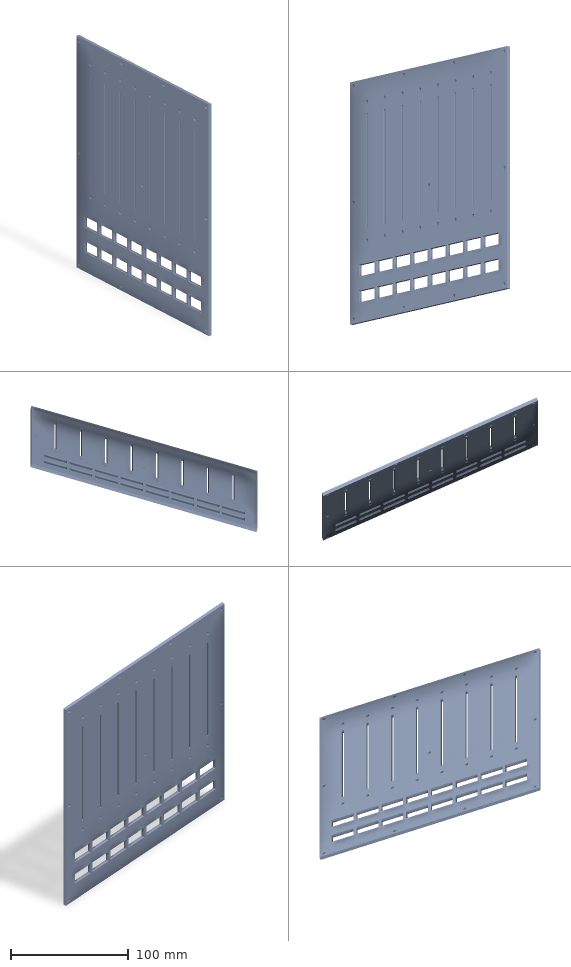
import cadquery as cq

panel_width = 200.0
panel_height = 210.0
panel_thickness = 3.0

hole_diameter = 3.0
edge_inset = 4.0
edge_hole_columns = 4

column_count = 8
column_span = 157.5
column_pitch = column_span / (column_count - 1)

slot_width = 2.0
slot_length = 100.0
slot_center_z = 25.0
slot_hole_offset = 60.0

window_width = 20.0
window_height = 10.0
upper_window_z = -60.0
window_rows = [upper_window_z, upper_window_z - column_pitch]

column_x = [i * column_pitch - column_span / 2 for i in range(column_count)]


def edge_hole_points():
    """Centres of the holes around the panel border and of the one in the middle."""
    side_x = panel_width / 2 - edge_inset
    end_z = panel_height / 2 - edge_inset
    spacing = 2 * side_x / (edge_hole_columns - 1)
    row_x = [i * spacing - side_x for i in range(edge_hole_columns)]
    border = [(x, z) for x in row_x for z in (-end_z, end_z)]
    middle_row = [(-side_x, 0), (0, 0), (side_x, 0)]
    return border + middle_row


def slot_hole_points():
    """Centres of the screw holes above and below every slot."""
    rows = (slot_center_z - slot_hole_offset, slot_center_z + slot_hole_offset)
    return [(x, z) for x in column_x for z in rows]


def through_holes(points):
    sketch = cq.Workplane("XZ").pushPoints(points).circle(hole_diameter / 2)
    return sketch.extrude(panel_thickness, both=True)


def through_rectangles(points, width, height):
    sketch = cq.Workplane("XZ").pushPoints(points).rect(width, height)
    return sketch.extrude(panel_thickness, both=True)


slot_points = [(x, slot_center_z) for x in column_x]
window_points = [(x, z) for x in column_x for z in window_rows]

panel = cq.Workplane("XY").box(panel_width, panel_thickness, panel_height)
panel = panel.cut(through_holes(edge_hole_points() + slot_hole_points()))
panel = panel.cut(through_rectangles(slot_points, slot_width, slot_length))
panel = panel.cut(through_rectangles(window_points, window_width, window_height))

result = panel